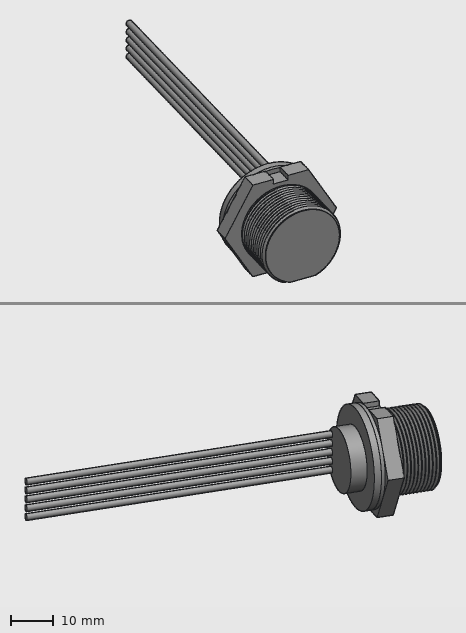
import cadquery as cq
import math


wire_length = 76.2
wire_diameter = 1.65
wire_count = 5
wire_pitch = 2.286
wire_row_y = 5.08

boss_length = 4.06
boss_radius = 15.875 / 2
flange_thickness = 1.78
flange_radius = 25.4 / 2

thread_length = 11.18
thread_pitch = 25.4 / 28
thread_depth = 0.6
thread_count = 12
thread_radius = 20.64 / 2
thread_root_radius = thread_radius - thread_depth
thread_flat_z = -9.1

gasket_thickness = 0.92
nut_thickness = 4.06
nut_across_flats = 25.4
nut_across_corners = nut_across_flats / math.cos(math.radians(30))
nut_slot_width = 3.81
nut_slot_depth = 1.27

boss_face = -boss_length
gasket_face = flange_thickness
nut_face = gasket_face + gasket_thickness
thread_start = nut_face + nut_thickness
thread_end = thread_start + thread_length

neck_radius = thread_radius


def make_shell_core():
    """Boss, flange, neck and ridged barrel, turned about X from a half profile."""
    profile = (
        cq.Workplane("XZ")
        .moveTo(boss_face, 0)
        .lineTo(boss_face, boss_radius)
        .lineTo(0, boss_radius)
        .lineTo(0, flange_radius)
        .lineTo(gasket_face, flange_radius)
        .lineTo(gasket_face, neck_radius)
        .lineTo(thread_start, neck_radius)
        .lineTo(thread_start, thread_root_radius)
    )
    for ridge in range(thread_count):
        ridge_start = thread_start + ridge * thread_pitch
        profile = profile.lineTo(ridge_start + thread_pitch / 2, thread_radius)
        profile = profile.lineTo(ridge_start + thread_pitch, thread_root_radius)
    profile = profile.lineTo(thread_end, thread_root_radius).lineTo(thread_end, 0).close()
    return profile.revolve(360, (0, 0, 0), (1, 0, 0))


def make_thread_flat_cutter():
    """Block that removes everything of the barrel below its flat."""
    return (
        cq.Workplane("YZ", origin=(thread_start, 0, thread_flat_z - thread_radius / 2))
        .rect(2 * thread_radius, thread_radius)
        .extrude(thread_length)
    )


def make_wires():
    """Row of leads along Z, running from the boss face toward -X."""
    return (
        cq.Workplane("YZ", origin=(boss_face, wire_row_y, 0))
        .rarray(1, wire_pitch, 1, wire_count)
        .circle(wire_diameter / 2)
        .extrude(-wire_length)
    )


def make_shell():
    """Moulded shell with its leads, as one solid."""
    return make_shell_core().cut(make_thread_flat_cutter()).union(make_wires())


def make_gasket():
    """Flat ring between the flange and the nut, as wide as the flange."""
    return (
        cq.Workplane("XZ")
        .moveTo(gasket_face, neck_radius)
        .lineTo(gasket_face, flange_radius)
        .lineTo(nut_face, flange_radius)
        .lineTo(nut_face, neck_radius)
        .close()
        .revolve(360, (0, 0, 0), (1, 0, 0))
    )


def make_nut():
    """Hexagon with corners on the Y axis, and a locating slot across its top flat."""
    hexagon = (
        cq.Workplane("YZ", origin=(nut_face, 0, 0))
        .polygon(6, nut_across_corners)
        .circle(neck_radius)
        .extrude(nut_thickness)
    )
    slot = (
        cq.Workplane("YZ", origin=(nut_face, 0, nut_across_flats / 2))
        .rect(nut_slot_width, 2 * nut_slot_depth)
        .extrude(nut_thickness)
    )
    return hexagon.cut(slot)


shell = make_shell()
gasket = make_gasket()
nut = make_nut()

result = cq.Compound.makeCompound([shell.val(), gasket.val(), nut.val()])